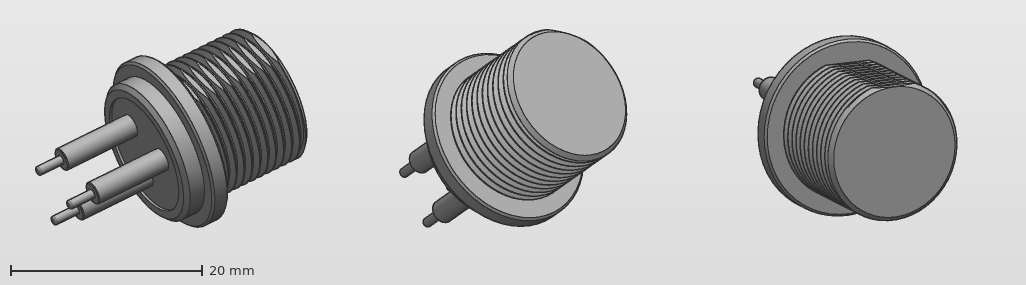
import cadquery as cq
import math


thread_length = 11.5
thread_radius = 7.48
root_radius = 13.73 / 2
thread_turns = 11.5
pitch = thread_length / thread_turns
crest_width = pitch / 8
flank_half_angle = 30
groove_phase = 0.7
collar_length = 0.5
collar_land = 0.03
flat_height = 7.05

flange_radius = 19.0 / 2
flange_thickness = 2.02
flange_chamfer = 0.25
boss_radius = 15.8 / 2
boss_length = 2.3
boss_chamfer = 0.5
recess_radius = 13.0 / 2
recess_depth = 0.3

pin_count = 3
pin_circle_radius = 3.35
first_pin_angle = -90
sleeve_radius = 2.5 / 2
sleeve_length = 8.5
sleeve_chamfer = 0.1
tip_radius = 1.0 / 2
tip_length = 3.0
tip_fillet = 0.22

boss_front = -(flange_thickness + boss_length)
recess_floor = boss_front + recess_depth


def disc(radius, start, length):
    """Cylinder on the Y axis from y = start, running toward +Y."""
    return cq.Workplane("XZ", origin=(0, start, 0)).circle(radius).extrude(-length)


def make_thread_groove():
    """Right-hand helical trapezoid along Y, running past both ends of the thread."""
    clearance = 0.05
    slope = math.tan(math.radians(flank_half_angle))
    crest_half_gap = (pitch - crest_width) / 2
    root_half_gap = crest_half_gap - (thread_radius - root_radius) * slope
    outer_half_gap = crest_half_gap + clearance * slope
    outer_radius = thread_radius + clearance
    helix_height = (math.ceil(thread_turns) + 2) * pitch
    helix = cq.Wire.makeHelix(pitch, helix_height, root_radius)
    groove = (
        cq.Workplane("XZ")
        .polyline([
            (root_radius, -root_half_gap),
            (outer_radius, -outer_half_gap),
            (outer_radius, outer_half_gap),
            (root_radius, root_half_gap),
        ])
        .close()
        .sweep(cq.Workplane(helix), isFrenet=True)
    )
    start = thread_length - groove_phase + pitch - helix_height
    return groove.rotate((0, 0, 0), (1, 0, 0), -90).translate((0, start, 0))


def make_barrel():
    threaded_length = thread_length - collar_length
    blank = disc(thread_radius, -thread_length, 3 * thread_length).cut(make_thread_groove())
    barrel = blank.intersect(disc(flange_radius, 0, threaded_length))
    collar = disc(thread_radius, threaded_length, collar_length)
    collar = collar.faces(">Y").chamfer(collar_length - collar_land)
    barrel = barrel.union(collar)
    above_flat = (
        cq.Workplane("XY", origin=(0, thread_length / 2, flat_height))
        .rect(2 * thread_radius, 2 * thread_length)
        .extrude(thread_radius)
    )
    return barrel.cut(above_flat)


def make_housing():
    flange = disc(flange_radius, -flange_thickness, flange_thickness)
    flange = flange.faces("<Y or >Y").chamfer(flange_chamfer)
    boss = disc(boss_radius, boss_front, boss_length).faces("<Y").chamfer(boss_chamfer)
    recess = disc(recess_radius, boss_front, recess_depth)
    return make_barrel().union(flange).union(boss).cut(recess)


def make_pin(angle):
    """Stepped pin seated on the recess floor; angle is measured from +X toward +Z."""
    sleeve_end = boss_front - sleeve_length
    sleeve = disc(sleeve_radius, sleeve_end, recess_floor - sleeve_end)
    sleeve = sleeve.faces("<Y").chamfer(sleeve_chamfer)
    tip = disc(tip_radius, sleeve_end - tip_length, tip_length).faces("<Y").edges().fillet(tip_fillet)
    x = pin_circle_radius * math.cos(math.radians(angle))
    z = pin_circle_radius * math.sin(math.radians(angle))
    return sleeve.union(tip).translate((x, 0, z))


housing = make_housing()
pins = [make_pin(first_pin_angle + i * 360 / pin_count) for i in range(pin_count)]

result = cq.Compound.makeCompound([housing.val(), *[pin.val() for pin in pins]])